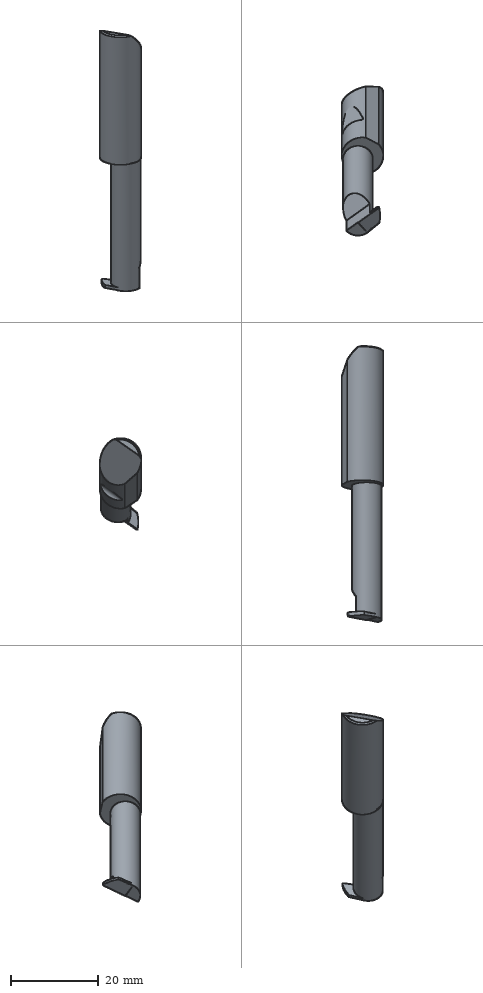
import cadquery as cq
import math

overall_length = 63.48
shank_diameter = 9.53
shank_radius = shank_diameter / 2
shank_bottom = 31.75

bevel_edge_y = -2.95
bevel_angle = 45.0
end_chamfer_width = 0.45
end_chamfer_height = 0.3
side_flat_start_angle = 138.0
side_flat_end_angle = 180.0
notch_top = 48.8
notch_bottom = 40.4
notch_angle = 8.7
notch_corner_radius = 0.8

neck_radius = 3.43
neck_bottom = 0.25
neck_center_x = shank_radius - neck_radius
relief_top = 8.65
relief_angle = 45.0

tip_corner = (-2.45, -3.15)
flank_radius = 8.0
tip_taper = 3.4
tip_top = 1.2
tip_root_bottom = 0.1
tip_ridge_x = -2.2
nose_radius = 0.55

clearance = 1.0


def prism_along_x(points):
    """Prism spanning the whole shank width, with its (Y, Z) section given by points."""
    width = shank_diameter + 2 * clearance
    return cq.Workplane("YZ").polyline(points).close().extrude(width / 2, both=True)


def make_shank():
    length = overall_length - shank_bottom
    profile = [
        (0, 0),
        (shank_radius, 0),
        (shank_radius, length - end_chamfer_height),
        (shank_radius - end_chamfer_width, length),
        (0, length),
    ]
    shank = cq.Workplane("XZ").polyline(profile).close().revolve(360, (0, 0), (0, 1))
    shank = shank.translate((0, 0, shank_bottom))
    return shank.cut(end_bevel()).cut(side_flat()).cut(clamping_notch())


def end_bevel():
    """Slanted cut across the upper end, falling towards +Y."""
    outer_y = shank_radius + clearance
    drop = (outer_y - bevel_edge_y) * math.tan(math.radians(bevel_angle))
    return prism_along_x([
        (bevel_edge_y, overall_length),
        (outer_y, overall_length - drop),
        (outer_y, overall_length),
    ])


def side_flat():
    """Flat along the whole shank, on the chord between two angles round the axis."""
    middle_angle = (side_flat_start_angle + side_flat_end_angle) / 2
    half_angle = math.radians(side_flat_end_angle - side_flat_start_angle) / 2
    distance = shank_radius * math.cos(half_angle)
    block = cq.Workplane("XY").box(
        shank_radius, shank_diameter, overall_length, centered=(False, True, False)
    )
    return block.translate((distance, 0, 0)).rotate((0, 0, 0), (0, 0, 1), middle_angle)


def clamping_notch():
    """Sloping flat on the +Y side that ends in a rounded step at its lower end."""
    depth = (notch_top - notch_bottom) * math.tan(math.radians(notch_angle))
    overshoot_rise = clearance / math.tan(math.radians(notch_angle))
    notch = prism_along_x([
        (shank_radius + clearance, notch_top + overshoot_rise),
        (shank_radius - depth, notch_bottom),
        (shank_radius + clearance, notch_bottom),
    ])
    return notch.edges("|X").edges("<Y").fillet(notch_corner_radius)


def make_neck():
    neck = cq.Workplane("XY", origin=(neck_center_x, 0, neck_bottom))
    neck = neck.circle(neck_radius).extrude(shank_bottom - neck_bottom)
    relief_depth = neck_radius + clearance
    slope = math.tan(math.radians(relief_angle))
    relief = prism_along_x([
        (0, -clearance),
        (0, relief_top - neck_radius * slope),
        (relief_depth, relief_top + clearance * slope),
        (relief_depth, -clearance),
    ])
    return neck.cut(relief)


def make_tip():
    """Plate with a curved flank, thinning away from its rounded cutting edge at Y = 0."""
    outline = (
        cq.Workplane("XY")
        .moveTo(-shank_radius, 0)
        .radiusArc(tip_corner, -flank_radius)
        .lineTo(neck_center_x, -neck_radius)
        .lineTo(neck_center_x, 0)
        .close()
        .extrude(tip_top)
    )
    nose_center_x = -shank_radius + nose_radius
    root_x = neck_center_x + clearance
    plate = (
        cq.Workplane("XZ")
        .moveTo(nose_center_x, 0)
        .threePointArc((-shank_radius, nose_radius), (nose_center_x, 2 * nose_radius))
        .lineTo(tip_ridge_x, tip_top)
        .lineTo(root_x, tip_top)
        .lineTo(root_x, tip_root_bottom)
        .close()
        .extrude(neck_radius + clearance, taper=tip_taper)
    )
    return plate.intersect(outline)


result = make_shank().union(make_neck()).union(make_tip())